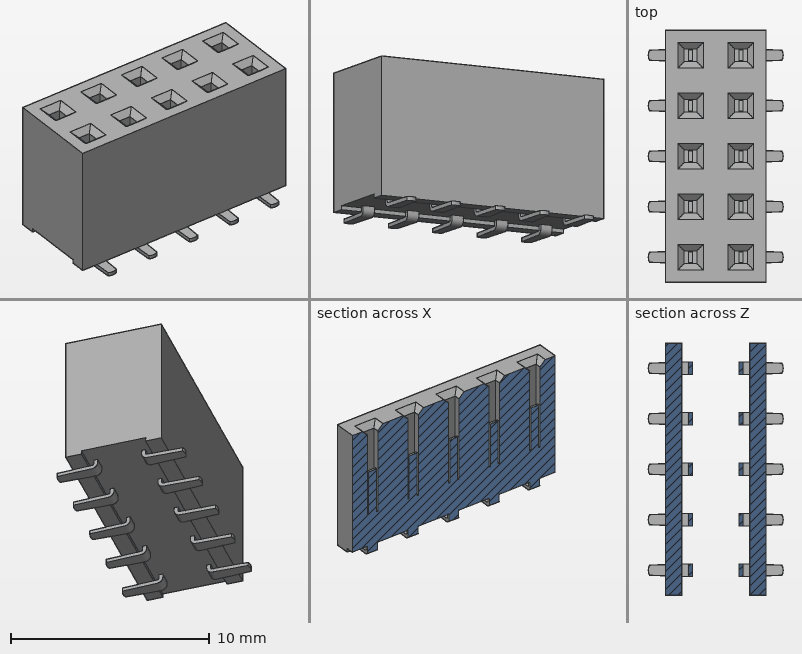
import cadquery as cq

rows = 5
pitch = 2.54
body_length = rows * pitch
body_width = 2 * pitch
overall_width = 6.8
overall_height = 7.45

body_clearance = 0.3
rail_height = 0.2
channel_width = 3.4

mouth_size = 1.28
bore_size = 0.64
lead_in_depth = 0.32
socket_depth = 5.08

strip_thickness = 0.2
tail_width = 0.65
foot_end_width = 0.52
foot_tip_bulge = 0.06
bend_inner_radius = 0.1
blade_width = 0.52
blade_height = 2.54

body_bottom = body_clearance
channel_roof = body_bottom + rail_height
socket_floor = overall_height - socket_depth
contact_x = pitch / 2
foot_tip_x = overall_width / 2
row_places = [(row - (rows - 1) / 2) * pitch for row in range(rows)]


def box(size_x, size_y, bottom, top):
    """Box centred on the Z axis between two heights."""
    height = top - bottom
    return cq.Workplane("XY").box(size_x, size_y, height, (True, True, False)).translate((0, 0, bottom))


def make_housing():
    block = box(body_width, body_length, body_bottom, overall_height)
    return block.cut(box(channel_width, body_length, body_bottom, channel_roof))


def make_socket():
    """Material removed for one socket, centred on the Z axis."""
    lead_in_bottom = overall_height - lead_in_depth
    lead_in = (
        cq.Workplane("XY", origin=(0, 0, overall_height))
        .rect(mouth_size, mouth_size)
        .workplane(offset=-lead_in_depth)
        .rect(bore_size, bore_size)
        .loft(ruled=True)
    )
    return lead_in.union(box(bore_size, bore_size, socket_floor, lead_in_bottom))


def make_contact():
    """Contact of the +X column at Y = 0: blade, tail, bend and outward foot."""
    inner_face = contact_x - strip_thickness / 2
    outer_face = contact_x + strip_thickness / 2
    bend_outer_radius = bend_inner_radius + strip_thickness
    foot_start = inner_face + bend_outer_radius

    strip = (
        cq.Workplane("XZ")
        .moveTo(inner_face, socket_floor)
        .lineTo(inner_face, bend_outer_radius)
        .radiusArc((foot_start, 0), -bend_outer_radius)
        .lineTo(foot_tip_x, 0)
        .lineTo(foot_tip_x, strip_thickness)
        .lineTo(foot_start, strip_thickness)
        .radiusArc((outer_face, bend_outer_radius), bend_inner_radius)
        .lineTo(outer_face, socket_floor)
        .close()
        .extrude(tail_width / 2, both=True)
    )

    foot_side_end = foot_tip_x - foot_tip_bulge
    outline = (
        cq.Workplane("XY")
        .moveTo(inner_face, -tail_width / 2)
        .lineTo(foot_start, -tail_width / 2)
        .lineTo(foot_side_end, -foot_end_width / 2)
        .threePointArc((foot_tip_x, 0), (foot_side_end, foot_end_width / 2))
        .lineTo(foot_start, tail_width / 2)
        .lineTo(inner_face, tail_width / 2)
        .close()
        .extrude(socket_floor)
    )

    blade = box(strip_thickness, blade_width, channel_roof, socket_floor + blade_height)
    return strip.intersect(outline).union(blade.translate((contact_x, 0, 0)))


housing = make_housing()
socket = make_socket()
right_contact = make_contact()
left_contact = right_contact.mirror("YZ")

for row_y in row_places:
    for socket_x in (-contact_x, contact_x):
        housing = housing.cut(socket.translate((socket_x, row_y, 0)))

result = housing
for row_y in row_places:
    for contact in (left_contact, right_contact):
        result = result.union(contact.translate((0, row_y, 0)))